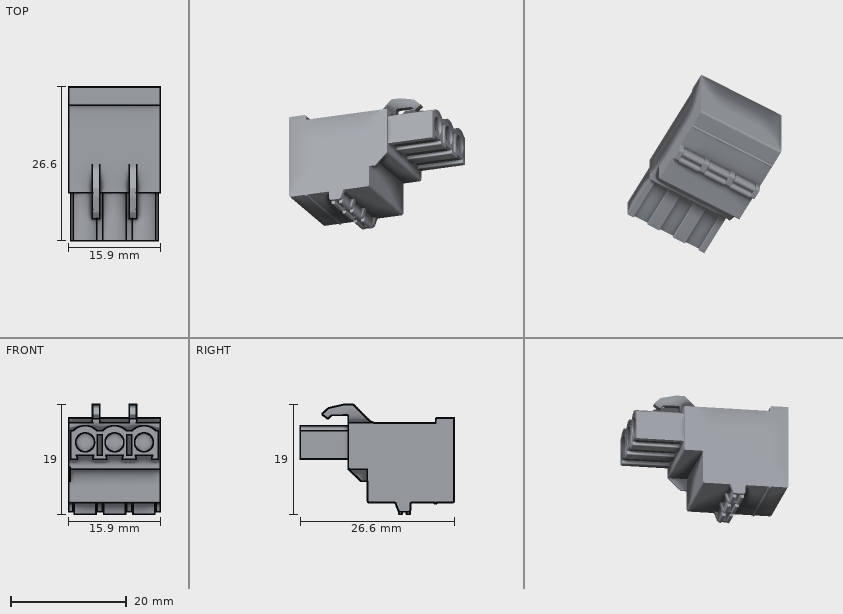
import cadquery as cq
import math


pole_count = 3
pitch = 5.08
pole_positions = [(i - (pole_count - 1) / 2) * pitch for i in range(pole_count)]
gap_positions = [x + pitch / 2 for x in pole_positions[:-1]]

width = 15.86
length = 26.6
height = 19.01

plug_length = 8.32
housing_front = plug_length
housing_bottom = 2.03
housing_top = 15.8
lower_front = 11.65
recess_roof = 7.82
overhang_round = 0.3
bottom_round = 0.35
lip_height = 0.9
lip_depth = 3.2
lip_round = 0.35

cheek_thickness = 0.3
cheek_bottom = 5.7
cheek_slope_top = 7.85
cheek_slope_run = 2.25

plug_width = 15.16
plug_bottom = 9.55
plug_shoulder = 14.48
socket_height = 12.46
barrel_radius = 2.88
socket_radius = 1.63
socket_depth = 1.05
slot_width = 0.87
slot_top = 13.76
notch_top = 10.25
slot_depth = plug_length
notch_half_top = 1.5
notch_half_neck = 1.31
notch_corner = 0.14

hook_offset = 3.18
hook_width = 1.29

foot_back = length - 7.52
foot_front_top = length - 10.15
foot_front_bottom = length - 9.57
foot_bottom = 0.46
foot_width = 0.95
foot_root_round = 0.25
foot_tip_round = 0.38
leg_width = 3.8
leg_thickness = 0.65
leg_round = 0.25
leg_back_faces = [length - 7.58, length - 8.93]
bead_radius = 0.2
bead_position = length - 3.22

overlap = 0.5


def extrude_across(points, thickness, x_center):
    """Extrude a closed (Y, Z) polygon symmetrically about x_center."""
    profile = cq.Workplane("YZ", origin=(x_center, 0, 0)).polyline(points).close()
    return profile.extrude(thickness / 2, both=True)


def box_between(x_range, y_range, z_range):
    """Box given by its lower and upper limit along each axis."""
    sizes = [r[1] - r[0] for r in (x_range, y_range, z_range)]
    corner = (x_range[0], y_range[0], z_range[0])
    return cq.Workplane("XY").box(*sizes, centered=False).translate(corner)


def edges_at(y, z):
    """Selector for the edge running along X through (y, z)."""
    reach = 0.05
    return cq.selectors.BoxSelector(
        (-width, y - reach, z - reach), (width, y + reach, z + reach)
    )


def make_housing():
    lip_front = length - lip_depth
    lip_top = housing_top + lip_height
    outline = [
        (length, housing_bottom),
        (length, lip_top),
        (lip_front, lip_top),
        (lip_front, housing_top),
        (housing_front, housing_top),
        (housing_front, recess_roof),
        (lower_front, recess_roof),
        (lower_front, housing_bottom),
    ]
    housing = extrude_across(outline, width, 0)
    housing = housing.edges(edges_at(lip_front, lip_top)).fillet(lip_round)
    housing = housing.edges(edges_at(housing_front, recess_roof)).fillet(overhang_round)
    for y in (length, lower_front):
        housing = housing.edges(edges_at(y, housing_bottom)).fillet(bottom_round)
    return housing


def make_cheek():
    outline = [
        (housing_front, housing_top),
        (housing_front, cheek_slope_top),
        (housing_front + cheek_slope_run, cheek_bottom),
        (lower_front + overlap, cheek_bottom),
        (lower_front + overlap, housing_top),
    ]
    return extrude_across(outline, cheek_thickness, (cheek_thickness - width) / 2)


def make_notch(x):
    """Undercut groove along the plug underside, with rounded mouth corners."""
    neck = notch_half_neck
    neck_height = plug_bottom + notch_corner
    mouth = neck + notch_corner
    bulge = notch_corner * (1 - math.sqrt(0.5))
    profile = (
        cq.Workplane("XZ", origin=(x, 0, 0))
        .moveTo(-notch_half_top, notch_top)
        .lineTo(notch_half_top, notch_top)
        .lineTo(neck, neck_height)
        .threePointArc((neck + bulge, plug_bottom + bulge), (mouth, plug_bottom))
        .lineTo(-mouth, plug_bottom)
        .threePointArc((-neck - bulge, plug_bottom + bulge), (-neck, neck_height))
        .close()
    )
    return profile.extrude(-plug_length)


def make_plug():
    half = plug_width / 2
    plug_back = plug_length + overlap
    plug = box_between((-half, half), (0, plug_back), (plug_bottom, plug_shoulder))
    above_shoulder = box_between((-half, half), (0, plug_back), (plug_shoulder, height))
    for x in pole_positions:
        face = cq.Workplane("XZ", origin=(x, 0, socket_height))
        barrel = face.circle(barrel_radius).extrude(-plug_back)
        plug = plug.union(barrel.intersect(above_shoulder))
    return plug


def cut_plug_openings(body):
    for x in pole_positions:
        face = cq.Workplane("XZ", origin=(x, 0, socket_height))
        body = body.cut(face.circle(socket_radius).extrude(-socket_depth))
        body = body.cut(make_notch(x))
    for x in gap_positions:
        x_range = (x - slot_width / 2, x + slot_width / 2)
        body = body.cut(box_between(x_range, (0, slot_depth), (notch_top, slot_top)))
    return body


def make_hook(x):
    """Latch arm rising at 45 degrees from the housing top and reaching forward."""
    root_radius = 1.9
    root_start = length - 13.42
    diagonal = math.sqrt(0.5)
    half_sweep = math.pi / 8
    root_middle = (
        root_start - root_radius * math.sin(half_sweep),
        housing_top + root_radius * (1 - math.cos(half_sweep)),
    )
    root_end = (
        root_start - root_radius * diagonal,
        housing_top + root_radius * (1 - diagonal),
    )
    ramp_top = (root_end[0] - (height - root_end[1]), height)
    crest = (length - 18.99, height)
    shoulder = (length - 21.67, 18.4)
    tip = (length - 22.88, 17.32)
    barb = (length - 21.77, 16.5)
    barb_root = (length - 21.15, 17.1)
    crook = (housing_front, 17.15)
    base = housing_top - overlap

    profile = (
        cq.Workplane("YZ", origin=(x, 0, 0))
        .moveTo(root_start, housing_top)
        .threePointArc(root_middle, root_end)
        .lineTo(*ramp_top)
        .lineTo(*crest)
        .lineTo(*shoulder)
        .lineTo(*tip)
        .lineTo(*barb)
        .lineTo(*barb_root)
        .lineTo(*crook)
        .lineTo(housing_front, base)
        .lineTo(root_start, base)
        .close()
    )
    hook = profile.extrude(hook_width / 2, both=True)
    corner_rounds = [
        (ramp_top, 0.35),
        (crest, 2.3),
        (shoulder, 0.63),
        (tip, 0.2),
        (barb, 0.15),
        (crook, 0.22),
    ]
    for corner, radius in corner_rounds:
        hook = hook.edges(edges_at(*corner)).fillet(radius)
    return hook


def make_foot(x):
    """Rib below the housing with a sloping front and filleted roots."""
    root_top = housing_bottom + overlap
    outline = [
        (foot_back + overlap, root_top),
        (foot_back + overlap, housing_bottom),
        (foot_back, housing_bottom),
        (foot_back, foot_bottom),
        (foot_front_bottom, foot_bottom),
        (foot_front_top, housing_bottom),
        (foot_front_top - overlap, housing_bottom),
        (foot_front_top - overlap, root_top),
    ]
    foot = extrude_across(outline, foot_width, x)
    rounded_corners = [
        ((foot_back, housing_bottom), foot_root_round),
        ((foot_front_top, housing_bottom), foot_root_round),
        ((foot_back, foot_bottom), foot_tip_round),
        ((foot_front_bottom, foot_bottom), foot_tip_round),
    ]
    for corner, radius in rounded_corners:
        foot = foot.edges(edges_at(*corner)).fillet(radius)
    return foot


def make_leg(x, back_face):
    leg = box_between(
        (x - leg_width / 2, x + leg_width / 2),
        (back_face - leg_thickness, back_face),
        (0, housing_bottom + overlap),
    )
    return leg.faces("<Z").edges("|X").fillet(leg_round)


def add_underside(body):
    outer = width / 2
    within_sides = box_between((-outer, outer), (0, length), (0, height))
    end_feet = [-pole_count * pitch / 2, pole_count * pitch / 2]
    for x in gap_positions + end_feet:
        body = body.union(make_foot(x).intersect(within_sides))
    for x in pole_positions:
        for back_face in leg_back_faces:
            body = body.union(make_leg(x, back_face))
    bead = cq.Workplane("YZ").center(bead_position, housing_bottom).circle(bead_radius)
    return body.union(bead.extrude(outer, both=True))


body = make_housing().union(make_cheek()).union(make_plug())
body = cut_plug_openings(body)
for hook_x in (-hook_offset, hook_offset):
    body = body.union(make_hook(hook_x))
result = add_underside(body)